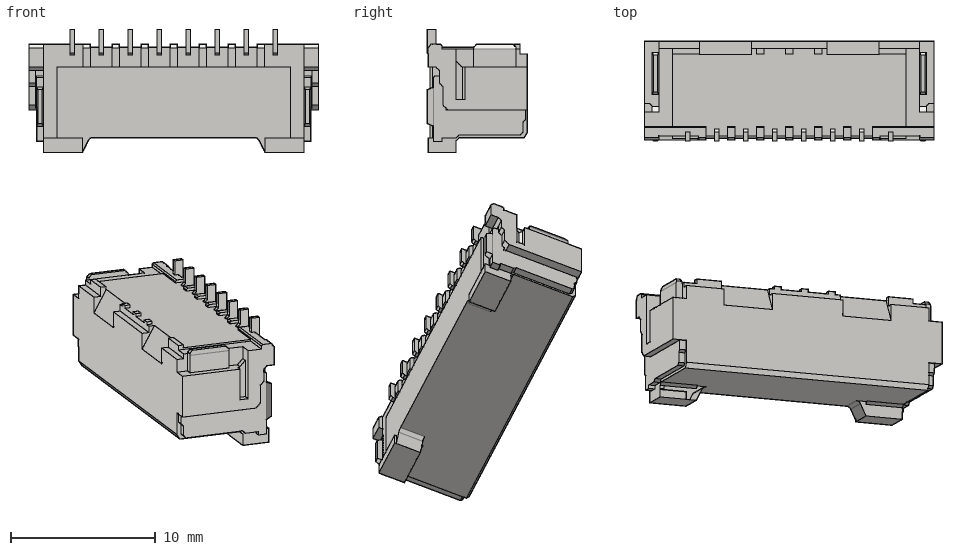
import cadquery as cq

LENGTH = 20.0
DEPTH = 6.9
HEIGHT = 8.5

HALF_LENGTH = LENGTH / 2
BODY_HALF = 9.0
PANEL_HALF = 8.05

BODY_BOTTOM = 1.02
STRIP_TOP = 7.15
PANEL_TOP = 7.28
CREST_TOP = 7.48
BACK_LEDGE_TOP = 6.82
SHOULDER = 5.9
EAR_BOTTOM = 2.95

WALL_FRONT = 0.35
PANEL_FRONT = 0.18
RIB_FRONT = 0.05
WALL_BACK = 1.02
WING_BACK = 2.0
BACK_STEP = 6.4

PITCH = 2.0
PIN_COUNT = 8
PIN_WIDTH = 0.32
PIN_BACK = 0.62
PIN_BOTTOM = 6.72
PIN_BEVEL = 0.15
PIN_HEEL_BACK = 0.85

RIB_WIDTH = 0.5
FRONT_RIB_COUNT = PIN_COUNT - 1
BACK_RIB_COUNT = 3
BACK_RIB_FRONT = 6.02
RIB_BEVEL_DEPTH = 0.2
RIB_BEVEL_HEIGHT = 0.25
WALL_BACK_BEVEL = 0.1

FOOT_INNER = 6.3
FOOT_BACK_BEVEL = 0.2
FOOT_FLARE_TOP = 5.58
FLARE_ARC_START = (5.88, 0.85)
FLARE_ARC_MIDDLE = (5.75, 0.98)

BACK_BEVEL_DEPTH = 0.22
BACK_BEVEL_HEIGHT = 0.35

RAMP_INNER = 2.62
RAMP_OUTER = 6.2
RAMP_FRONT = 5.98
RAMP_BACK_Z = 5.68

EAR_FRONT = 1.08
EAR_CORNER = 0.35
WING_STEP = 4.8
WING_CORNER = 0.25

SLOT_BACK = 2.6
SLOT_BOTTOM = 3.68
SLOT_BEVEL = 0.18
GUSSET_SIZE = 0.4

CLIP_OUTER = 9.45
CLIP_FRONT = 0.42
CLIP_BACK = 6.78
CLIP_BACK_STEP = 0.18
CLIP_STEP = 2.1
CLIP_RISE = 0.2
CLIP_BOTTOM = 0.78
CLIP_TOP = 5.3
CLIP_TOP_BEVEL = 0.12
CLIP_SLOT_OUTER = 9.52
CLIP_SLOT_BACK = 1.28
TAB_FRONT = 3.2
TAB_BACK = 6.12
TAB_CORNER = 0.2
TAB_TAPER = 0.08
LUG_BOTTOM = 1.82
LUG_TOP = 4.52
LUG_SIDE_TAPER = 0.08
LUG_END_TAPER = 0.18


def box(x0, x1, y0, y1, z0, z1):
    """Box between two opposite corners."""
    return cq.Workplane("XY").box(x1 - x0, y1 - y0, z1 - z0, centered=False).translate((x0, y0, z0))


def side_profile(points, x0, x1):
    """Prism of a (y, z) outline between two X positions."""
    return cq.Workplane("YZ").polyline(points).close().extrude(x1 - x0).translate((x0, 0, 0))


def row(count):
    """X positions of a centred row at the pin pitch."""
    return [(i - (count - 1) / 2) * PITCH for i in range(count)]


def both_ends(shape):
    """The shape together with its mirror image at the other end."""
    return shape.union(shape.mirror("YZ"))


def housing():
    body = side_profile(
        [
            (WALL_FRONT, BODY_BOTTOM),
            (DEPTH - BACK_BEVEL_DEPTH, BODY_BOTTOM),
            (DEPTH, BODY_BOTTOM + BACK_BEVEL_HEIGHT),
            (DEPTH, BACK_LEDGE_TOP),
            (BACK_STEP, BACK_LEDGE_TOP),
            (BACK_STEP, STRIP_TOP),
            (WALL_FRONT, STRIP_TOP),
        ],
        -BODY_HALF,
        BODY_HALF,
    )
    front_panel = box(-PANEL_HALF, PANEL_HALF, PANEL_FRONT, WALL_FRONT, BODY_BOTTOM, SHOULDER)
    top_panel = box(-PANEL_HALF, PANEL_HALF, WALL_FRONT, BACK_STEP, STRIP_TOP, PANEL_TOP)
    return body.union(front_panel).union(top_panel)


def crest_profile():
    """Open outline of the bevelled crest shared by the front ribs and the wings."""
    return [
        (RIB_FRONT, SHOULDER),
        (RIB_FRONT, CREST_TOP - RIB_BEVEL_HEIGHT),
        (RIB_FRONT + RIB_BEVEL_DEPTH, CREST_TOP),
        (WALL_BACK - WALL_BACK_BEVEL, CREST_TOP),
        (WALL_BACK, CREST_TOP - WALL_BACK_BEVEL),
    ]


def front_ribs():
    ribs = cq.Workplane("XY")
    outline = crest_profile() + [(WALL_BACK, SHOULDER)]
    for x in row(FRONT_RIB_COUNT):
        ribs = ribs.union(side_profile(outline, x - RIB_WIDTH / 2, x + RIB_WIDTH / 2))
    return ribs


def front_wall():
    """Raised wall between a wing and the outermost front rib."""
    outer_rib_x = row(FRONT_RIB_COUNT)[-1]
    return side_profile(
        [
            (WALL_FRONT, STRIP_TOP),
            (WALL_FRONT, CREST_TOP),
            (WALL_BACK - WALL_BACK_BEVEL, CREST_TOP),
            (WALL_BACK, CREST_TOP - WALL_BACK_BEVEL),
            (WALL_BACK, STRIP_TOP),
        ],
        outer_rib_x,
        BODY_HALF,
    )


def back_ribs():
    ribs = cq.Workplane("XY")
    for x in row(BACK_RIB_COUNT):
        ribs = ribs.union(
            box(x - RIB_WIDTH / 2, x + RIB_WIDTH / 2, BACK_RIB_FRONT, BACK_STEP, PANEL_TOP, CREST_TOP)
        )
    return ribs


def back_lip():
    return box(RAMP_OUTER, PANEL_HALF, BACK_RIB_FRONT, BACK_STEP, PANEL_TOP, CREST_TOP)


def back_ramp_cut():
    """Sloped notch in the upper back edge."""
    return side_profile(
        [
            (RAMP_FRONT, CREST_TOP),
            (RAMP_FRONT, PANEL_TOP),
            (DEPTH, RAMP_BACK_Z),
            (DEPTH, CREST_TOP),
        ],
        RAMP_INNER,
        RAMP_OUTER,
    )


def foot():
    block = side_profile(
        [
            (RIB_FRONT, 0),
            (WING_BACK, 0),
            (WING_BACK, BODY_BOTTOM - FOOT_BACK_BEVEL),
            (WING_BACK + FOOT_BACK_BEVEL, BODY_BOTTOM),
            (RIB_FRONT, BODY_BOTTOM),
        ],
        FOOT_INNER,
        BODY_HALF,
    )
    flare = (
        cq.Workplane("XZ", origin=(0, PANEL_FRONT, 0))
        .moveTo(FOOT_INNER, 0)
        .lineTo(*FLARE_ARC_START)
        .threePointArc(FLARE_ARC_MIDDLE, (FOOT_FLARE_TOP, BODY_BOTTOM))
        .lineTo(FOOT_INNER, BODY_BOTTOM)
        .close()
        .extrude(PANEL_FRONT - WING_BACK)
    )
    return block.union(flare)


def wing():
    """End wing with the ear that runs along the side of the housing."""
    outline = crest_profile() + [
        (WALL_BACK, STRIP_TOP),
        (WING_BACK, STRIP_TOP),
        (WING_BACK, SHOULDER),
        (DEPTH, SHOULDER),
        (DEPTH, EAR_BOTTOM),
        (EAR_FRONT + EAR_CORNER, EAR_BOTTOM),
        (EAR_FRONT, EAR_BOTTOM + EAR_CORNER),
        (EAR_FRONT, WING_STEP - WING_CORNER),
        (EAR_FRONT - WING_CORNER, WING_STEP),
        (EAR_FRONT - WING_CORNER, SHOULDER - WING_CORNER),
        (EAR_FRONT - 2 * WING_CORNER, SHOULDER),
    ]
    slot = (
        box(CLIP_OUTER, HALF_LENGTH, WING_BACK, SLOT_BACK, SLOT_BOTTOM, SHOULDER)
        .edges("|Z and <X and >Y")
        .chamfer(SLOT_BEVEL)
    )
    gusset = side_profile(
        [
            (WING_BACK, SHOULDER),
            (WING_BACK + GUSSET_SIZE, SHOULDER),
            (WING_BACK, SHOULDER + GUSSET_SIZE),
        ],
        BODY_HALF,
        CLIP_OUTER,
    )
    clip_slot = box(BODY_HALF, CLIP_SLOT_OUTER, 0, CLIP_SLOT_BACK, EAR_BOTTOM, SHOULDER - WING_CORNER)
    return side_profile(outline, BODY_HALF, HALF_LENGTH).cut(slot).cut(clip_slot).union(gusset)


def tab():
    """Upright tab with cut top corners and a slightly tapered crest."""
    tapered = (
        cq.Workplane("XZ", origin=(0, TAB_FRONT, 0))
        .polyline(
            [
                (BODY_HALF, SHOULDER),
                (CLIP_OUTER, SHOULDER),
                (CLIP_OUTER, STRIP_TOP),
                (CLIP_OUTER - TAB_TAPER, CREST_TOP),
                (BODY_HALF + TAB_TAPER, CREST_TOP),
                (BODY_HALF, STRIP_TOP),
            ]
        )
        .close()
        .extrude(TAB_FRONT - TAB_BACK)
    )
    outline = side_profile(
        [
            (TAB_FRONT, SHOULDER),
            (TAB_FRONT, CREST_TOP - TAB_CORNER),
            (TAB_FRONT + TAB_CORNER, CREST_TOP),
            (TAB_BACK - TAB_CORNER, CREST_TOP),
            (TAB_BACK, CREST_TOP - TAB_CORNER),
            (TAB_BACK, SHOULDER),
        ],
        BODY_HALF,
        CLIP_OUTER,
    )
    return tapered.intersect(outline)


def lug():
    """Tapered pad on the front edge of the plate."""
    width = CLIP_OUTER - BODY_HALF
    height = LUG_TOP - LUG_BOTTOM
    center = ((BODY_HALF + CLIP_OUTER) / 2, CLIP_FRONT, (LUG_BOTTOM + LUG_TOP) / 2)
    return (
        cq.Workplane("XZ", origin=center)
        .rect(width, height)
        .workplane(offset=CLIP_FRONT)
        .rect(width - 2 * LUG_SIDE_TAPER, height - 2 * LUG_END_TAPER)
        .loft(ruled=True)
    )


def clip():
    """Retaining plate on the housing end, with its upper tab and front lug."""
    lower_edge = BODY_BOTTOM + CLIP_RISE
    lower_back = CLIP_BACK - CLIP_BACK_STEP
    plate = side_profile(
        [
            (CLIP_FRONT, CLIP_BOTTOM),
            (CLIP_FRONT, CLIP_TOP - CLIP_TOP_BEVEL),
            (CLIP_FRONT + CLIP_TOP_BEVEL, CLIP_TOP),
            (CLIP_SLOT_BACK, CLIP_TOP),
            (CLIP_SLOT_BACK, EAR_BOTTOM),
            (CLIP_BACK, EAR_BOTTOM),
            (CLIP_BACK, CLIP_STEP + CLIP_BACK_STEP),
            (lower_back, CLIP_STEP),
            (lower_back, lower_edge + CLIP_BACK_STEP),
            (lower_back - CLIP_BACK_STEP, lower_edge),
            (WING_BACK + CLIP_RISE, lower_edge),
            (WING_BACK, BODY_BOTTOM),
            (WALL_BACK, BODY_BOTTOM),
            (WALL_BACK, CLIP_BOTTOM),
        ],
        BODY_HALF,
        CLIP_OUTER,
    )
    return plate.union(tab()).union(lug())


def pins():
    outline = [
        (0, HEIGHT),
        (PIN_BACK, HEIGHT),
        (PIN_BACK, CREST_TOP),
        (PIN_HEEL_BACK, PANEL_TOP),
        (PIN_HEEL_BACK, PIN_BOTTOM),
        (PIN_BEVEL, PIN_BOTTOM),
        (0, PIN_BOTTOM + PIN_BEVEL),
    ]
    pin_row = cq.Workplane("XY")
    for x in row(PIN_COUNT):
        pin_row = pin_row.union(side_profile(outline, x - PIN_WIDTH / 2, x + PIN_WIDTH / 2))
    return pin_row


result = (
    housing()
    .union(front_ribs())
    .union(both_ends(front_wall()))
    .union(back_ribs())
    .union(both_ends(back_lip()))
    .cut(both_ends(back_ramp_cut()))
    .union(both_ends(foot()))
    .union(both_ends(wing()))
    .union(both_ends(clip()))
    .union(pins())
    .clean()
)